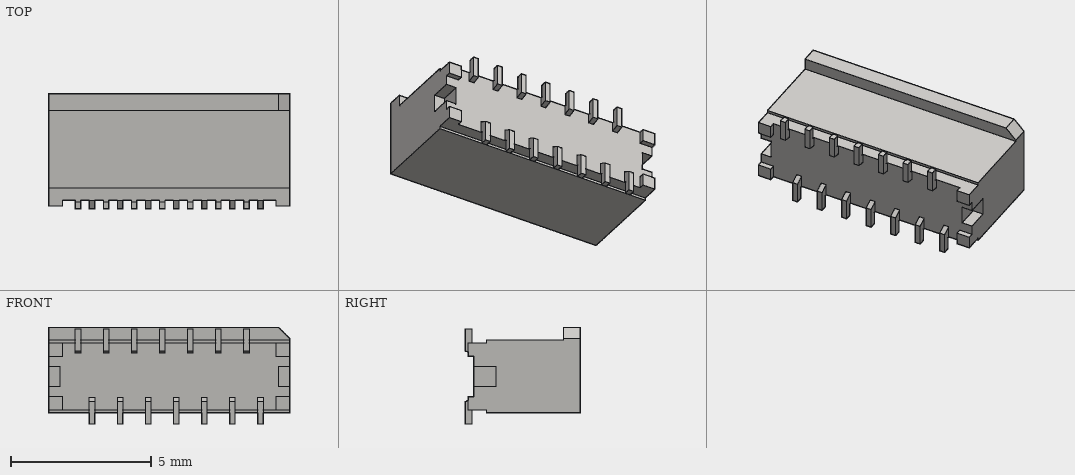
import cadquery as cq

LENGTH = 8.6
HEIGHT = 3.05
LIP_DEPTH = 0.6
LIP_CHAMFER = 0.4
DECK_HEIGHT = 2.6
MID_HEIGHT = DECK_HEIGHT / 2

STEP_DISTANCE = 3.35
FACE_DISTANCE = 3.8
PAD_DISTANCE = 4.0
PIN_BACK_DISTANCE = 3.85
PIN_FRONT_DISTANCE = 4.1
BACK_Y = PIN_FRONT_DISTANCE / 2

NOSE_STEP = 0.1
PAD_WIDTH = 0.5
PAD_HEIGHT = 0.48

NOTCH_WIDTH = 0.4
NOTCH_HEIGHT = 0.7
NOTCH_DEPTH = 0.8

PINS_PER_ROW = 7
PIN_PITCH = 1.0
ROW_STAGGER = PIN_PITCH / 2
PIN_WIDTH = 0.2
PIN_TIP = 1.7
PIN_BEND = 0.9
UPPER_PIN_ROOT = 0.83
LOWER_PIN_ROOT = 0.74
PIN_FOOT_OUTER = MID_HEIGHT - NOSE_STEP
PIN_EMBED = 0.2


def y_at(distance):
    """Y coordinate at a distance in front of the back face."""
    return BACK_Y - distance


def box(x_range, distance_range, z_range):
    """Box between two X values, two distances from the back face and two Z values."""
    width = x_range[1] - x_range[0]
    depth = distance_range[1] - distance_range[0]
    height = z_range[1] - z_range[0]
    corner = (x_range[0], y_at(distance_range[1]), z_range[0])
    return cq.Workplane("XY").box(width, depth, height, centered=False).translate(corner)


def end_blocks(width, distance_range, z_range):
    """Matching boxes against both ends of the housing."""
    half = LENGTH / 2
    left = box((-half, -half + width), distance_range, z_range)
    right = box((half - width, half), distance_range, z_range)
    return left.union(right)


def make_housing():
    ends = (-LENGTH / 2, LENGTH / 2)
    lip = box(ends, (0, LIP_DEPTH), (0, HEIGHT)).edges(">X and >Z").chamfer(LIP_CHAMFER)
    deck = box(ends, (0, STEP_DISTANCE), (0, DECK_HEIGHT))
    nose = box(ends, (0, FACE_DISTANCE), (NOSE_STEP, DECK_HEIGHT - NOSE_STEP))
    return lip.union(deck).union(nose)


def make_pads():
    distances = (STEP_DISTANCE, PAD_DISTANCE)
    nose_top = DECK_HEIGHT - NOSE_STEP
    lower = end_blocks(PAD_WIDTH, distances, (NOSE_STEP, NOSE_STEP + PAD_HEIGHT))
    upper = end_blocks(PAD_WIDTH, distances, (nose_top - PAD_HEIGHT, nose_top))
    return lower.union(upper)


def make_notches():
    z_range = (MID_HEIGHT - NOTCH_HEIGHT / 2, MID_HEIGHT + NOTCH_HEIGHT / 2)
    return end_blocks(NOTCH_WIDTH, (FACE_DISTANCE - NOTCH_DEPTH, FACE_DISTANCE), z_range)


def make_pin(x_center, side, root):
    """Pin leaving the front face and bending up (side = 1) or down (side = -1)."""
    root_distance = FACE_DISTANCE - PIN_EMBED
    profile = [
        (root_distance, root),
        (FACE_DISTANCE, root),
        (PIN_FRONT_DISTANCE, PIN_BEND),
        (PIN_FRONT_DISTANCE, PIN_TIP),
        (PIN_BACK_DISTANCE, PIN_TIP),
        (PIN_BACK_DISTANCE, PIN_FOOT_OUTER),
        (root_distance, PIN_FOOT_OUTER),
    ]
    points = [(y_at(distance), MID_HEIGHT + side * rise) for distance, rise in profile]
    pin = cq.Workplane("YZ").polyline(points).close().extrude(PIN_WIDTH / 2, both=True)
    return pin.translate((x_center, 0, 0))


def add_pins(part):
    first_offset = -(PINS_PER_ROW - 1) / 2 * PIN_PITCH
    for side, root in ((1, UPPER_PIN_ROOT), (-1, LOWER_PIN_ROOT)):
        row_center = -side * ROW_STAGGER / 2
        for index in range(PINS_PER_ROW):
            x_center = row_center + first_offset + index * PIN_PITCH
            part = part.union(make_pin(x_center, side, root))
    return part


result = add_pins(make_housing().union(make_pads()).cut(make_notches()))